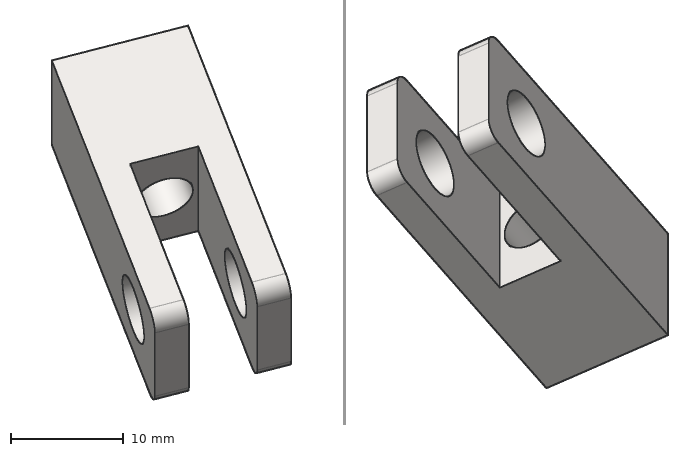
import cadquery as cq

length = 30.23
width = 12.7

slot_width = width / 2
slot_floor_x = 12.97
tip_radius = 1.6

pin_diameter = 6.35
pin_x = length - width / 2
shank_bore_diameter = 5.38

body = cq.Workplane("XY").box(length, width, width, centered=(False, True, True))
body = body.edges(">X and |Y").fillet(tip_radius)

slot = (
    cq.Workplane("XY")
    .box(length - slot_floor_x, slot_width, width, centered=(False, True, True))
    .translate((slot_floor_x, 0, 0))
)

pin_hole = (
    cq.Workplane("XZ")
    .center(pin_x, 0)
    .circle(pin_diameter / 2)
    .extrude(width / 2, both=True)
)

shank_bore = cq.Workplane("YZ").circle(shank_bore_diameter / 2).extrude(slot_floor_x)

result = body.cut(slot).cut(pin_hole).cut(shank_bore)